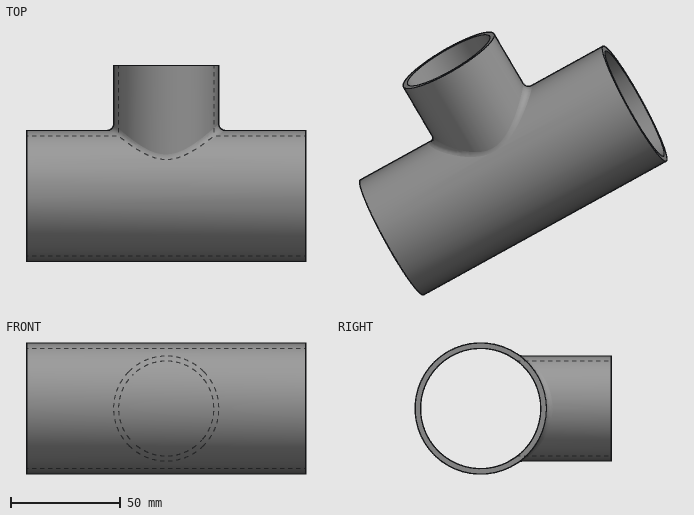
import cadquery as cq

run_length = 128.0
run_outer_diameter = 60.3
run_inner_diameter = 55.0

branch_outer_diameter = 48.3
branch_inner_diameter = 43.6
overall_depth = 90.1
run_radius = run_outer_diameter / 2
branch_radius = branch_outer_diameter / 2
branch_reach = overall_depth - run_radius

junction_fillet = 3.0


def run_cylinder(diameter):
    return cq.Workplane("YZ").circle(diameter / 2).extrude(run_length / 2, both=True)


def branch_cylinder(diameter):
    return cq.Workplane("XZ").circle(diameter / 2).extrude(-branch_reach)


body = run_cylinder(run_outer_diameter).union(branch_cylinder(branch_outer_diameter))

junction_box = cq.selectors.BoxSelector(
    (-branch_radius, 0, -branch_radius),
    (branch_radius, run_radius, branch_radius),
)
body = body.edges(junction_box).fillet(junction_fillet)

result = body.cut(run_cylinder(run_inner_diameter)).cut(branch_cylinder(branch_inner_diameter))